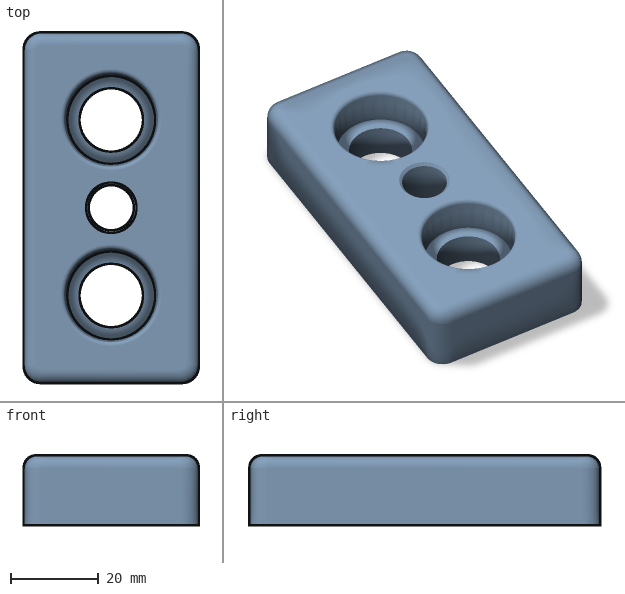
import cadquery as cq

width = 40.0
length = 80.0
height = 16.0
corner_radius = 4.0
top_edge_radius = 3.0

screw_spacing = length / 2
screw_positions = [(0, -screw_spacing / 2), (0, screw_spacing / 2)]
screw_hole_diameter = 14.4
counterbore_floor_diameter = 20.0
counterbore_depth = height / 2
counterbore_wall_angle = 5.0
counterbore_rim_radius = 1.0

center_hole_diameter = 10.2
center_hole_chamfer = 0.6


def largest_top_circles(body):
    """Select the circular edges of greatest radius in the top face."""
    return body.faces(">Z").edges(cq.selectors.RadiusNthSelector(-1))


def rounded_block():
    """Block standing on Z = 0 with rounded corners and a rounded top edge."""
    block = cq.Workplane("XY").box(width, length, height, centered=(True, True, False))
    block = block.edges("|Z").fillet(corner_radius)
    return block.faces(">Z").edges().fillet(top_edge_radius)


def add_center_hole(body):
    """Drill the through hole on the Z axis and chamfer its top rim."""
    drill = cq.Workplane("XY").circle(center_hole_diameter / 2).extrude(height)
    return largest_top_circles(body.cut(drill)).chamfer(center_hole_chamfer)


def add_screw_holes(body):
    """Cut both screw holes, with counterbores that widen upward to a rounded rim."""
    drills = (
        cq.Workplane("XY")
        .pushPoints(screw_positions)
        .circle(screw_hole_diameter / 2)
        .extrude(height)
    )
    counterbores = (
        cq.Workplane("XY", origin=(0, 0, height - counterbore_depth))
        .pushPoints(screw_positions)
        .circle(counterbore_floor_diameter / 2)
        .extrude(counterbore_depth, taper=-counterbore_wall_angle)
    )
    body = body.cut(drills).cut(counterbores)
    return largest_top_circles(body).fillet(counterbore_rim_radius)


result = add_screw_holes(add_center_hole(rounded_block()))